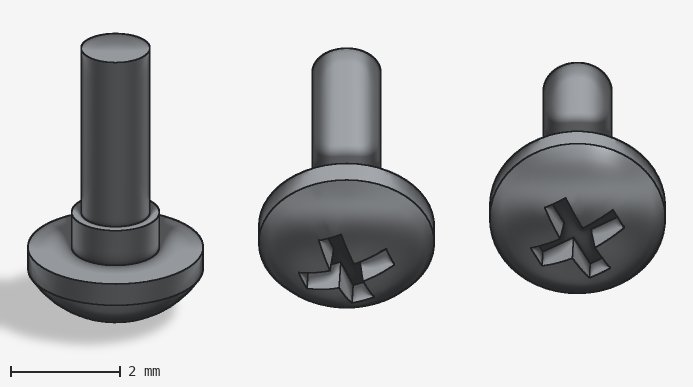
import cadquery as cq
import math

total_length = 5.3
shank_diameter = 1.255
shank_length = 3.3
shoulder_diameter = 1.6
shoulder_length = 0.7
head_diameter = 3.2
rim_height = 0.43

slot_width = 0.465
slot_span = 1.74
recess_depth = 0.635
recess_draft = 5.0

head_radius = head_diameter / 2
head_height = total_length - shank_length - shoulder_length

corner_radius = slot_width / math.sqrt(2)
corner_drop = head_height - rim_height
center_rise = (head_radius**2 - corner_radius**2 - corner_drop**2) / (2 * corner_drop)
dome_radius = math.hypot(head_radius, center_rise)
dome_height = dome_radius - center_rise
apex_z = -rim_height - dome_height


def make_head():
    """Cylindrical rim with a spherical dome below it."""
    middle_radius = head_radius / 2
    middle_z = -rim_height + center_rise - math.sqrt(dome_radius**2 - middle_radius**2)
    return (
        cq.Workplane("XZ")
        .lineTo(head_radius, 0)
        .lineTo(head_radius, -rim_height)
        .threePointArc((middle_radius, middle_z), (0, apex_z))
        .close()
        .revolve(360, (0, 0, 0), (0, 1, 0))
    )


def make_slot(length_x, length_y):
    """Drafted slot cutter rising from the dome apex."""
    apex_drop = -head_height - apex_z
    flare = 2 * apex_drop * math.tan(math.radians(recess_draft))
    return (
        cq.Workplane("XY", origin=(0, 0, apex_z))
        .rect(length_x + flare, length_y + flare)
        .extrude(recess_depth, taper=recess_draft)
    )


shoulder = cq.Workplane("XY").circle(shoulder_diameter / 2).extrude(shoulder_length)
shank = (
    cq.Workplane("XY", origin=(0, 0, shoulder_length))
    .circle(shank_diameter / 2)
    .extrude(shank_length)
)

result = (
    make_head()
    .union(shoulder)
    .union(shank)
    .cut(make_slot(slot_span, slot_width))
    .cut(make_slot(slot_width, slot_span))
)